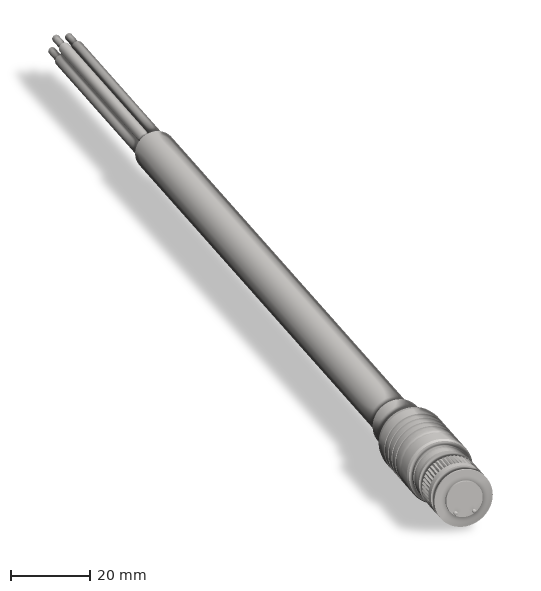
import math

import cadquery as cq

OVERALL_LENGTH = 324.8

WIRE_COUNT = 5
WIRE_CIRCLE_RADIUS = 2.9
WIRE_RADIUS = 1.5
CONDUCTOR_RADIUS = 1.0
STRIPPED_LENGTH = 7.0
FIRST_WIRE_ANGLE = -90.0

SHEATH_START = 75.0
SHEATH_RADIUS = 5.4
COLLAR_START = 269.6
COLLAR_RADIUS = 6.6
COLLAR_CHAMFER = 0.5

GRIP_START = 279.3
GRIP_END = 305.1
GRIP_RADIUS = 8.8
GRIP_ENTRY_RADIUS = 7.5
GRIP_TAPER_START = 279.7
GRIP_TAPER_LENGTH = 1.3
GRIP_TAPER_RADIUS = 8.6
GRIP_ENTRY_BLEND_LENGTH = 1.4
GRIP_END_CHAMFER_LENGTH = 0.8
GRIP_END_CHAMFER_HEIGHT = 0.3
GROOVE_DEPTH = 0.2
FIRST_GROOVE = 286.2
GROOVE_PITCH = 2.95
GROOVE_COUNT = 4
END_GROOVE = 300.0
END_GROOVE_LENGTH = 1.4

SHOULDER_RADIUS = 7.75
SHOULDER_STEP = 0.2
FIRST_RISE_END = 306.6
SECOND_RISE_START = 309.5
SHOULDER_END = 310.9
NECK_RADIUS = 4.85

NUT_START = 312.3
NUT_END = 320.6
NUT_RADIUS = 7.75
NUT_CHAMFER = 0.9
KNURL_END = 318.6
KNURL_COUNT = 48
KNURL_DEPTH = 0.4

FRONT_GROOVE_RADIUS = 6.7
FLANGE_START = 323.0
FLANGE_END = 323.5
INSERT_RADIUS = 4.85
INSERT_END = 324.2
PIN_RADIUS = 0.5
PIN_TIP_CHAMFER = 0.2
PIN_LENGTH = 2.0
PIN_SPREAD = 2.45
PIN_HEIGHT = -3.42


def rod(start, end, radius, y=0.0, z=0.0):
    """Round bar parallel to X."""
    return cq.Workplane("YZ", origin=(start, y, z)).circle(radius).extrude(end - start)


def revolve_profile(points):
    """Turn an (x, radius) outline, closed along the X axis, around X."""
    outline = [(points[0][0], 0.0)] + points + [(points[-1][0], 0.0)]
    return revolve_sketch(cq.Workplane("XY").polyline(outline))


def revolve_sketch(sketch):
    """Close an outline in the XY plane and turn it around X."""
    return sketch.close().revolve(360, (0, 0, 0), (1, 0, 0))


def make_wires():
    wires = cq.Workplane("XY")
    for i in range(WIRE_COUNT):
        angle = math.radians(FIRST_WIRE_ANGLE + i * 360.0 / WIRE_COUNT)
        y = WIRE_CIRCLE_RADIUS * math.cos(angle)
        z = WIRE_CIRCLE_RADIUS * math.sin(angle)
        wires = wires.union(rod(0, SHEATH_START, CONDUCTOR_RADIUS, y, z))
        wires = wires.union(rod(STRIPPED_LENGTH, SHEATH_START, WIRE_RADIUS, y, z))
    return wires


def make_grip_body():
    taper_end = GRIP_TAPER_START + GRIP_TAPER_LENGTH
    body = revolve_profile([
        (COLLAR_START, COLLAR_RADIUS - COLLAR_CHAMFER),
        (COLLAR_START + COLLAR_CHAMFER, COLLAR_RADIUS),
        (GRIP_START, COLLAR_RADIUS),
        (GRIP_START, GRIP_ENTRY_RADIUS),
        (GRIP_TAPER_START, GRIP_ENTRY_RADIUS),
        (taper_end, GRIP_TAPER_RADIUS),
        (taper_end + GRIP_ENTRY_BLEND_LENGTH, GRIP_RADIUS),
        (GRIP_END - GRIP_END_CHAMFER_LENGTH, GRIP_RADIUS),
        (GRIP_END, GRIP_RADIUS - GRIP_END_CHAMFER_HEIGHT),
    ])
    for i in range(GROOVE_COUNT):
        body = body.cut(make_groove(FIRST_GROOVE + i * GROOVE_PITCH, GROOVE_PITCH))
    return body.cut(make_groove(END_GROOVE, -END_GROOVE_LENGTH))


def make_groove(wall_x, run):
    """Ring groove with a square wall at wall_x; its floor curves back to the surface over the signed run."""
    fade_x = wall_x + run
    middle = (wall_x + run / 2, GRIP_RADIUS - GROOVE_DEPTH / 4)
    outside = GRIP_RADIUS + GROOVE_DEPTH
    section = (
        cq.Workplane("XY")
        .moveTo(wall_x, outside)
        .lineTo(wall_x, GRIP_RADIUS - GROOVE_DEPTH)
        .threePointArc(middle, (fade_x, GRIP_RADIUS))
        .lineTo(fade_x, outside)
    )
    return revolve_sketch(section)


def make_shoulder():
    """Two rising steps with a slightly lower band between them."""
    low_radius = SHOULDER_RADIUS - SHOULDER_STEP
    return revolve_profile([
        (GRIP_END, low_radius),
        (FIRST_RISE_END, SHOULDER_RADIUS),
        (FIRST_RISE_END, low_radius),
        (SECOND_RISE_START, low_radius),
        (SHOULDER_END, SHOULDER_RADIUS),
    ])


def make_nut():
    root_radius = NUT_RADIUS - KNURL_DEPTH
    half_pitch = math.pi / KNURL_COUNT
    outline = []
    for i in range(2 * KNURL_COUNT):
        radius = NUT_RADIUS if i % 2 == 0 else root_radius
        outline.append((radius * math.cos(i * half_pitch), radius * math.sin(i * half_pitch)))
    knurl_plane = cq.Workplane("YZ", origin=(NUT_START, 0, 0))
    knurled_bar = knurl_plane.polyline(outline).close().extrude(KNURL_END - NUT_START)
    envelope = revolve_profile([
        (NUT_START, NUT_RADIUS - NUT_CHAMFER),
        (NUT_START + NUT_CHAMFER, NUT_RADIUS),
        (KNURL_END, NUT_RADIUS),
    ])
    return knurled_bar.intersect(envelope).union(rod(KNURL_END, NUT_END, NUT_RADIUS))


def make_plug_front():
    front = rod(NUT_END, FLANGE_START, FRONT_GROOVE_RADIUS)
    front = front.union(rod(FLANGE_START, FLANGE_END, NUT_RADIUS))
    front = front.union(rod(FLANGE_END, INSERT_END, INSERT_RADIUS))
    for side in (-1, 1):
        pin = rod(OVERALL_LENGTH - PIN_LENGTH, OVERALL_LENGTH, PIN_RADIUS, side * PIN_SPREAD, PIN_HEIGHT)
        front = front.union(pin.faces(">X").chamfer(PIN_TIP_CHAMFER))
    return front


result = (
    rod(SHEATH_START, COLLAR_START, SHEATH_RADIUS)
    .union(make_wires())
    .union(make_grip_body())
    .union(make_shoulder())
    .union(rod(SHOULDER_END, NUT_START, NECK_RADIUS))
    .union(make_nut())
    .union(make_plug_front())
)